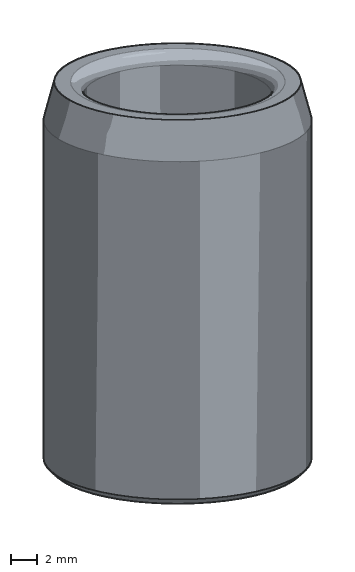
import cadquery as cq
import math

height = 30.0
outer_radius = height / 3
bore_radius = 0.7 * outer_radius

taper_height = 3.0
taper_angle = 15.0
top_radius = outer_radius - taper_height * math.tan(math.radians(taper_angle))

bottom_chamfer = 0.5
mouth_fillet = 1.0


def make_body():
    """Solid of revolution with a chamfered foot and a tapered top."""
    return (
        cq.Workplane("XZ")
        .lineTo(outer_radius - bottom_chamfer, 0)
        .lineTo(outer_radius, bottom_chamfer)
        .lineTo(outer_radius, height - taper_height)
        .lineTo(top_radius, height)
        .lineTo(0, height)
        .close()
        .revolve(360, (0, 0), (0, 1))
    )


def cut_bore(body):
    """Through bore with a rounded upper mouth."""
    bored = body.cut(cq.Workplane("XY").circle(bore_radius).extrude(height))
    mouth_edge = cq.selectors.RadiusNthSelector(0)
    return bored.faces(">Z").edges(mouth_edge).fillet(mouth_fillet)


result = cut_bore(make_body())